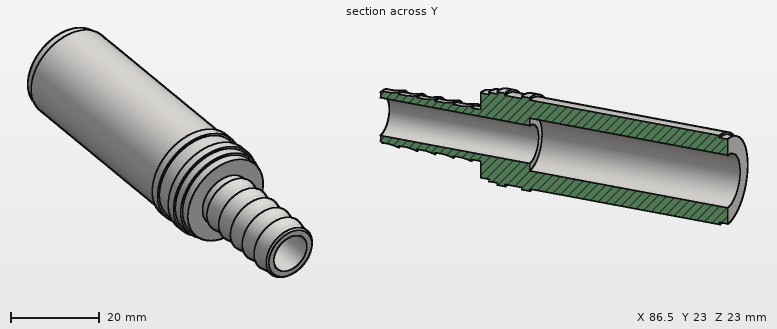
import cadquery as cq

total_length = 86.5
body_length = 61.6
barrel_length = 49.3

collar_radius = 11.5
body_radius = 11.0
end_step_radius = 10.5
neck_radius = 6.4
barb_radius = 6.8
socket_radius = 6.4
passage_radius = 4.6

band_count = 6
band_width = (body_length - barrel_length) / band_count
collar_bands = (0, 3)

barb_count = 5
tail_stretch = (total_length - body_length) / (2 * barb_count + 1)
tip_chamfer = 0.4

socket_depth = barrel_length


def cylinder(start, end, radius):
    """Solid cylinder about the X axis between two X positions."""
    return cq.Workplane("YZ", origin=(start, 0, 0)).circle(radius).extrude(end - start)


def barb(start):
    """Barb with a square shoulder facing the body, tapering down to the neck."""
    end = start + tail_stretch
    outline = [(start, 0), (start, barb_radius), (end, neck_radius), (end, 0)]
    return cq.Workplane("XY").polyline(outline).close().revolve(360, (0, 0, 0), (1, 0, 0))


body = cylinder(0, body_length, end_step_radius)
body = body.union(cylinder(band_width, body_length - band_width, body_radius))

for band in collar_bands:
    collar_start = barrel_length + band * band_width
    body = body.union(cylinder(collar_start, collar_start + band_width, collar_radius))

tail = cylinder(socket_depth, total_length, neck_radius).faces(">X").edges().chamfer(tip_chamfer)
for index in range(barb_count):
    tail = tail.union(barb(body_length + (2 * index + 1) * tail_stretch))

socket = cylinder(0, socket_depth, socket_radius)
passage = cylinder(0, total_length, passage_radius)

result = body.union(tail).cut(socket).cut(passage)